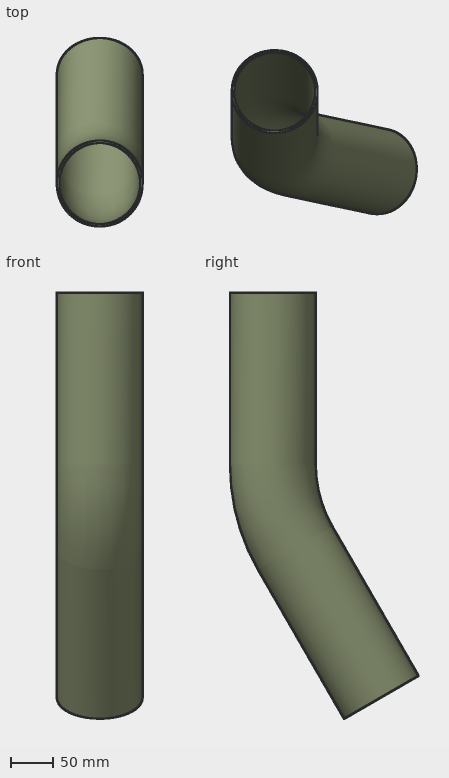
import cadquery as cq
import math

outer_diameter = 101.5
inner_diameter = 95.5
leg_length = 203.0
bend_radius = 196.5
bend_angle = 30.0


def bend_point(angle):
    """Point (y, z) on the bend centreline, the given angle past the upper leg."""
    turn = math.radians(angle)
    return bend_radius * (1 - math.cos(turn)), -bend_radius * math.sin(turn)


bend_middle = bend_point(bend_angle / 2)
bend_end = bend_point(bend_angle)
lean = math.radians(bend_angle)
lower_end = (
    bend_end[0] + leg_length * math.sin(lean),
    bend_end[1] - leg_length * math.cos(lean),
)
centreline = (
    cq.Workplane("YZ")
    .moveTo(0, leg_length)
    .lineTo(0, 0)
    .threePointArc(bend_middle, bend_end)
    .lineTo(*lower_end)
)

result = (
    cq.Workplane("XY", origin=(0, 0, leg_length))
    .circle(outer_diameter / 2)
    .circle(inner_diameter / 2)
    .sweep(centreline)
)